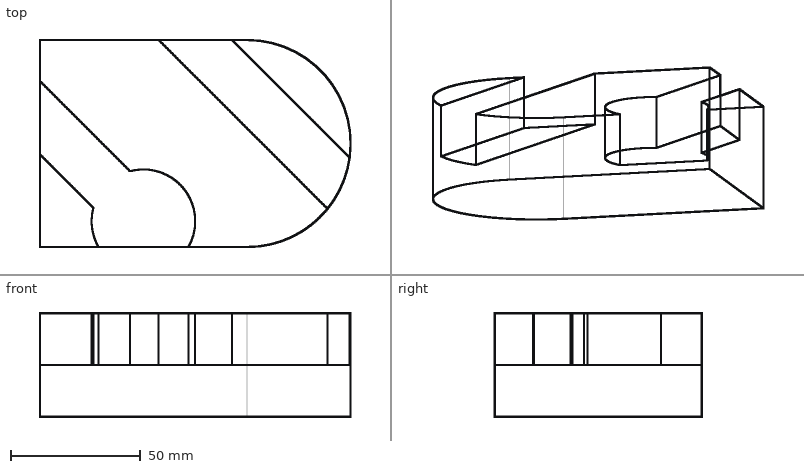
import cadquery as cq
import math

length = 120
width = length * 2 / 3
height = length / 3
end_radius = width / 2

cut_depth = height / 2
channel_width = height / 2
channel_angle = -45

pocket_radius = height / 2
pocket_x = length / 3
pocket_y = pocket_radius / 2

through_channel_x = length / 2
through_channel_y = width

overrun_length = 2 * length


def make_block():
    straight_length = length - end_radius
    return (
        cq.Workplane("XY")
        .lineTo(straight_length, 0)
        .threePointArc((length, width / 2), (straight_length, width))
        .lineTo(0, width)
        .close()
        .extrude(height)
    )


def make_channel(x, y, run_past_point):
    """Diagonal channel coming from the upper left, ending at (x, y) or running past it."""
    center_shift = 0 if run_past_point else -overrun_length / 2
    angle = math.radians(channel_angle)
    center_x = x + center_shift * math.cos(angle)
    center_y = y + center_shift * math.sin(angle)
    return (
        cq.Workplane("XY", origin=(center_x, center_y, height - cut_depth))
        .transformed(rotate=(0, 0, channel_angle))
        .rect(overrun_length, channel_width)
        .extrude(cut_depth)
    )


def make_pocket():
    return (
        cq.Workplane("XY", origin=(pocket_x, pocket_y, height - cut_depth))
        .circle(pocket_radius)
        .extrude(cut_depth)
    )


result = (
    make_block()
    .cut(make_pocket())
    .cut(make_channel(pocket_x, pocket_y, run_past_point=False))
    .cut(make_channel(through_channel_x, through_channel_y, run_past_point=True))
)